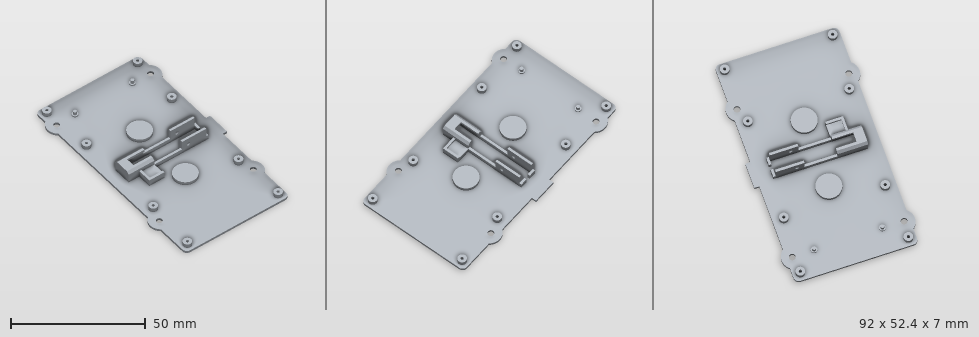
import cadquery as cq

plate_length = 92.0
plate_width = 48.6
plate_thickness = 1.0
corner_radius = 2.0
tab_width = 10.3
overall_width = 52.4

ear_diameter = 10.0
ear_left_x = -36.0
ear_right_x = 26.8
ear_hole_y = 22.0
ear_hole_diameter = 2.6

standoff_diameter = 3.6
standoff_top = 2.8
outer_standoff_x = 43.0
outer_standoff_y = 21.25
inner_standoff_x = 20.4
inner_standoff_y = 20.0
standoff_hole_diameter = 1.2

pin_y = 13.4
pin_base_diameter = 2.5
pin_base_top = 1.6
pin_diameter = 1.5
pin_top = 3.0

disc_diameter = 10.0
disc_x = 14.0
disc_top = 2.5

wall = 1.0
holder_width = 8.1
holder_back_y = 18.4
rail_top = 3.0
lip_gap = 1.9
cheek_front_y = 6.1
cheek_top = 7.0
cheek_hole_diameter = 1.5
cheek_hole_y = 9.0
cheek_hole_z = 4.1
block_back_y = -6.9
block_front_y = -18.95
block_top = 6.1
block_chamfer = 1.0
block_roof = 1.0
slot_width = 3.9
slot_front_y = -15.1

tray_right_x = 10.2
tray_front_y = -14.0
tray_top = 4.0
tray_floor_top = 3.0


def box_between(x_range, y_range, z_range):
    """Axis-aligned box spanning the given (low, high) ranges."""
    x_low, x_high = x_range
    y_low, y_high = y_range
    z_low, z_high = z_range
    size = (x_high - x_low, y_high - y_low, z_high - z_low)
    return cq.Workplane("XY").box(*size, centered=False).translate((x_low, y_low, z_low))


def cylinders(points, diameter, top):
    """Upright cylinders from the plate underside up to the given height."""
    return cq.Workplane("XY").pushPoints(points).circle(diameter / 2).extrude(top)


def four_corners(x, y):
    return [(sx * x, sy * y) for sx in (-1, 1) for sy in (-1, 1)]


def make_plate():
    plate = cq.Workplane("XY").rect(plate_length, plate_width).extrude(plate_thickness)
    plate = plate.edges("|Z").fillet(corner_radius)
    ear_y = (overall_width - ear_diameter) / 2
    ears = [(x, side * ear_y) for x in (ear_left_x, ear_right_x) for side in (-1, 1)]
    plate = plate.union(cylinders(ears, ear_diameter, plate_thickness))
    tab = box_between((-tab_width / 2, tab_width / 2), (0, overall_width / 2), (0, plate_thickness))
    return plate.union(tab)


def make_holder():
    half_width = holder_width / 2
    cheek_back_y = holder_back_y - wall
    block = box_between((-half_width, half_width), (block_front_y, block_back_y), (0, block_top))
    block = block.edges("|Y and >Z").chamfer(block_chamfer)
    slot = box_between(
        (-slot_width / 2, slot_width / 2), (slot_front_y, block_back_y), (plate_thickness, block_top)
    )
    channel = box_between(
        (wall - half_width, half_width - wall),
        (block_front_y + wall, block_back_y),
        (plate_thickness, block_top - block_roof),
    )
    holder = block.cut(slot).cut(channel)
    for side in (-1, 1):
        rail_x = sorted((side * half_width, side * (half_width - wall)))
        lip_x = sorted((side * half_width, side * lip_gap / 2))
        holder = holder.union(box_between(rail_x, (block_back_y, holder_back_y), (0, rail_top)))
        holder = holder.union(box_between(rail_x, (cheek_front_y, cheek_back_y), (0, cheek_top)))
        holder = holder.union(box_between(lip_x, (cheek_back_y, holder_back_y), (0, rail_top)))
    cheek_hole = (
        cq.Workplane("YZ")
        .center(cheek_hole_y, cheek_hole_z)
        .circle(cheek_hole_diameter / 2)
        .extrude(half_width, both=True)
    )
    return holder.cut(cheek_hole)


def make_tray():
    left_x = holder_width / 2
    tray = box_between((left_x, tray_right_x), (tray_front_y, block_back_y), (0, tray_top))
    pocket = box_between(
        (left_x, tray_right_x - wall), (tray_front_y + wall, block_back_y), (tray_floor_top, tray_top)
    )
    return tray.cut(pocket)


standoffs = four_corners(outer_standoff_x, outer_standoff_y)
standoffs += four_corners(inner_standoff_x, inner_standoff_y)
pins = [(ear_left_x, -pin_y), (ear_left_x, pin_y)]
discs = [(-disc_x, 0), (disc_x, 0)]
ear_holes = [(x, side * ear_hole_y) for x in (ear_left_x, ear_right_x) for side in (-1, 1)]

result = make_plate()
result = result.union(cylinders(standoffs, standoff_diameter, standoff_top))
result = result.union(cylinders(pins, pin_base_diameter, pin_base_top))
result = result.union(cylinders(pins, pin_diameter, pin_top))
result = result.union(cylinders(discs, disc_diameter, disc_top))
result = result.union(make_holder())
result = result.union(make_tray())
result = result.cut(cylinders(standoffs, standoff_hole_diameter, standoff_top))
result = result.cut(cylinders(ear_holes, ear_hole_diameter, plate_thickness))